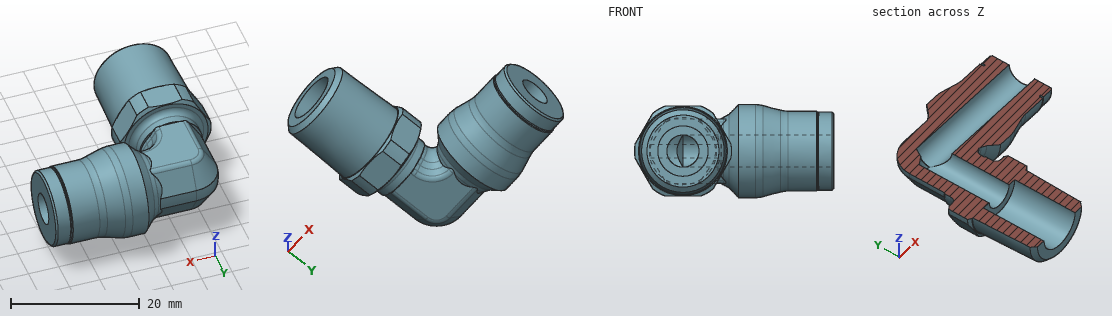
import cadquery as cq
import math


socket_end = 23.45
stud_end = -25.63

root_start = 5.1
root_end = 6.32
root_end_radius = 5.25
root_angle = 28.0
flare_start = 7.15
flare_start_radius = 5.72
bulge_start = 8.65
bulge_radius = 7.27
bulge_end = 11.3
taper_start = 12.45
taper_start_radius = 7.1
taper_end = 15.17
taper_end_radius = 6.38
barrel_start = 16.35
barrel_radius = 6.22
groove_start = 20.85
groove_end = 21.1
groove_radius = 5.45
groove_lip = 0.13
cap_radius = 6.1
cap_chamfer = 0.3

body_half_width = 5.07
body_half_height = 5.0
side_band_half_height = 1.05
inner_band_half_height = 2.55
ledge_start = 3.45
ledge_end = 4.18
top_corner = 2.53
corner_fillet = 0.95
bend_offset = 6.3

collar_top = -6.97
collar_radius = 5.23
nut_top = -9.25
nut_bottom = -13.75
collar_fillet = 0.95
nut_across_flats = 14.0
nut_corner_radius = 7.55
nut_bevel = 0.63
nut_bevel_angle = 30.0

thread_top_radius = 6.75
thread_end_radius = 6.4
thread_chamfer_radius = 5.6
thread_chamfer_length = 0.82

passage_radius = 2.5
drill_point_angle = 118.0
stud_bore_radius = 3.9
stud_bore_bottom = nut_bottom


def socket_sleeve():
    """Flared sleeve revolved about X, with the separate release cap at its end."""
    root_rise = (root_end - root_start) * math.tan(math.radians(root_angle))
    profile = (
        cq.Workplane("XY")
        .moveTo(root_start, 0)
        .lineTo(root_start, root_end_radius - root_rise)
        .lineTo(root_end, root_end_radius)
        .tangentArcPoint((flare_start, flare_start_radius), relative=False)
        .lineTo(bulge_start, bulge_radius)
        .lineTo(bulge_end, bulge_radius)
        .tangentArcPoint((taper_start, taper_start_radius), relative=False)
        .lineTo(taper_end, taper_end_radius)
        .tangentArcPoint((barrel_start, barrel_radius), relative=False)
        .lineTo(groove_start - groove_lip, barrel_radius)
        .lineTo(groove_start, barrel_radius - groove_lip)
        .lineTo(groove_start, groove_radius)
        .lineTo(groove_end, groove_radius)
        .lineTo(groove_end, cap_radius)
        .lineTo(socket_end - cap_chamfer, cap_radius)
        .lineTo(socket_end, cap_radius - cap_chamfer)
        .lineTo(socket_end, 0)
        .close()
    )
    return profile.revolve(360, (0, 0, 0), (1, 0, 0))


def half_section(workplane, inner=False):
    """Half of the body section toward local +X: flat top, slanted side and a round side band.

    The inner half, toward the bend axis, has a ledge that leads to a taller round band.
    """
    slant_end = math.sqrt(body_half_width**2 - side_band_half_height**2)
    slant_angle = math.atan2(body_half_height - side_band_half_height, slant_end - top_corner)
    if inner:
        band_x = ledge_end
        band_z = inner_band_half_height
    else:
        band_x = slant_end
        band_z = side_band_half_height
    tangent_length = corner_fillet * math.tan(slant_angle / 2)
    flat_x = top_corner - tangent_length
    slant_x = top_corner + tangent_length * math.cos(slant_angle)
    slant_z = body_half_height - tangent_length * math.sin(slant_angle)
    round_mid_x = flat_x + corner_fillet * math.sin(slant_angle / 2)
    round_mid_z = body_half_height - corner_fillet * (1 - math.cos(slant_angle / 2))

    outline = (
        workplane.moveTo(0, -body_half_height)
        .lineTo(0, body_half_height)
        .lineTo(flat_x, body_half_height)
        .threePointArc((round_mid_x, round_mid_z), (slant_x, slant_z))
    )
    ledge_z = body_half_height - (ledge_start - top_corner) * math.tan(slant_angle)
    if inner:
        outline = outline.lineTo(ledge_start, ledge_z)
    outline = outline.lineTo(band_x, band_z).threePointArc((body_half_width, 0), (band_x, -band_z))
    if inner:
        outline = outline.lineTo(ledge_start, -ledge_z)
    return (
        outline.lineTo(slant_x, -slant_z)
        .threePointArc((round_mid_x, -round_mid_z), (flat_x, -body_half_height))
        .close()
    )


def elbow_body():
    """Two straight legs joined by an outer round and a concave inner bend."""
    leg_length = -collar_top
    outer_half = half_section(cq.Workplane("XZ")).extrude(leg_length).mirror("YZ")
    bend_plane = cq.Workplane("XZ", origin=(0, -bend_offset, 0))
    inner_half = half_section(bend_plane, inner=True).extrude(leg_length - bend_offset)
    stud_leg = outer_half.union(inner_half)
    socket_leg = stud_leg.rotate((0, 0, 0), (0, 0, 1), 90).mirror("XZ")
    outer_round = half_section(cq.Workplane("YZ")).revolve(90, (0, 0, 0), (0, 1, 0))
    inner_bend = half_section(bend_plane, inner=True).revolve(
        90, (bend_offset, 0, 0), (bend_offset, -1, 0)
    )
    web = (
        cq.Workplane("XY", origin=(0, 0, -body_half_height))
        .lineTo(0, -bend_offset)
        .radiusArc((bend_offset, 0), bend_offset)
        .close()
        .extrude(2 * body_half_height)
    )
    return web.union(inner_bend).union(outer_round).union(stud_leg).union(socket_leg)


def threaded_stud():
    """Collar, fillet, thread and end chamfer turned about Y."""
    fillet_start = nut_top + collar_fillet
    fillet_mid = collar_fillet * (1 - math.sqrt(0.5))
    profile = (
        cq.Workplane("XY")
        .moveTo(0, collar_top)
        .lineTo(collar_radius, collar_top)
        .lineTo(collar_radius, fillet_start)
        .threePointArc(
            (collar_radius + fillet_mid, nut_top + fillet_mid),
            (collar_radius + collar_fillet, nut_top),
        )
        .lineTo(collar_radius + collar_fillet, nut_bottom)
        .lineTo(thread_top_radius, nut_bottom)
        .lineTo(thread_end_radius, stud_end + thread_chamfer_length)
        .lineTo(thread_chamfer_radius, stud_end)
        .lineTo(0, stud_end)
        .close()
    )
    return profile.revolve(360, (0, 0, 0), (0, 1, 0))


def hexagon_nut():
    """Hexagon with flats facing up and down, turned corners and bevelled ends."""
    corner_diameter = nut_across_flats / math.cos(math.pi / 6)
    hexagon = (
        cq.Workplane("XZ", origin=(0, nut_top, 0))
        .polygon(6, corner_diameter)
        .extrude(nut_top - nut_bottom)
    )
    bevel_height = nut_bevel * math.tan(math.radians(nut_bevel_angle))
    face_radius = nut_corner_radius - nut_bevel
    turned_blank = (
        cq.Workplane("XY")
        .moveTo(0, nut_top)
        .lineTo(face_radius, nut_top)
        .lineTo(nut_corner_radius, nut_top - bevel_height)
        .lineTo(nut_corner_radius, nut_bottom + bevel_height)
        .lineTo(face_radius, nut_bottom)
        .lineTo(0, nut_bottom)
        .close()
        .revolve(360, (0, 0, 0), (0, 1, 0))
    )
    return hexagon.intersect(turned_blank)


def drilled_passage(length):
    """Drilled hole along X that starts at the origin with a drill point toward -X."""
    point_length = passage_radius / math.tan(math.radians(drill_point_angle / 2))
    return (
        cq.Workplane("XY")
        .moveTo(-point_length, 0)
        .lineTo(0, passage_radius)
        .lineTo(length, passage_radius)
        .lineTo(length, 0)
        .close()
        .revolve(360, (0, 0, 0), (1, 0, 0))
    )


def bores():
    """Two meeting passages and the wider bore in the threaded end."""
    socket_passage = drilled_passage(socket_end)
    stud_passage = drilled_passage(-stud_end).rotate((0, 0, 0), (0, 0, 1), -90)
    stud_bore = (
        cq.Workplane("XZ", origin=(0, stud_bore_bottom, 0))
        .circle(stud_bore_radius)
        .extrude(stud_bore_bottom - stud_end)
    )
    return socket_passage.union(stud_passage).union(stud_bore)


outside = elbow_body().union(socket_sleeve()).union(threaded_stud()).union(hexagon_nut())
result = outside.cut(bores())